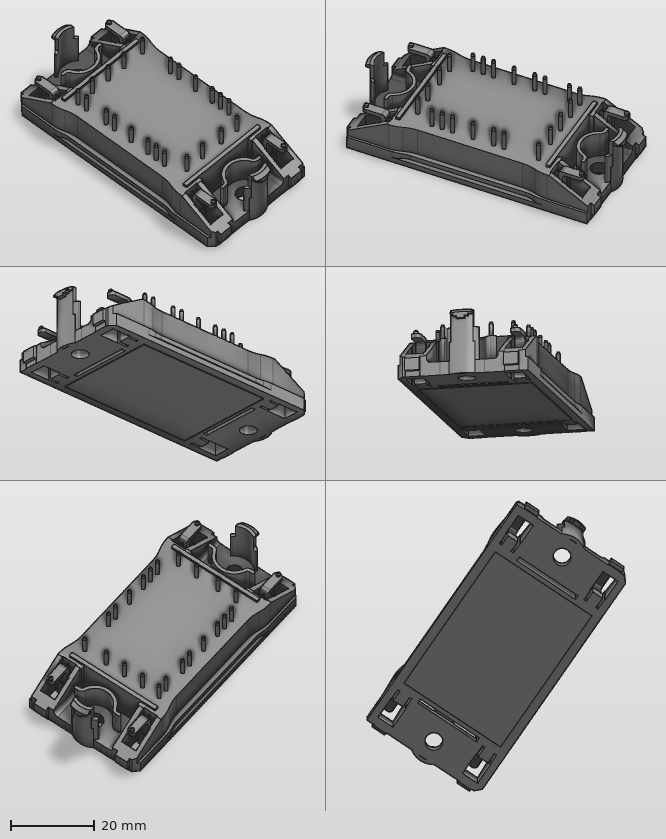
import cadquery as cq
import math

base_bottom = 0.2
skirt_top = 3.5
deck_top = 11.1
rib_top = 11.75
pin_top = 16.28
clip_top = 15.85

base_plate_x = 39.0
base_plate_y = 28.0
half_length = 32.05
skirt_half_width = 16.25
corner_chamfer = 1.45
wall_half_width = 15.65
waist_half_width = 14.4
waist_outer_x = 21.1
waist_inner_x = 14.0
end_wall_x = 20.6

recess_outer_x = 19.9
recess_inner_x = 15.4
recess_wall_y = 15.7
recess_bottom = 1.65
recess_ledge_top = 2.26

tower_x = 21.65
tower_end_height = 5.2
tower_inner_y = 8.9
tower_foot_radius = 1.2
window_inner_x = 21.7
window_deck_x = 21.4
window_outer_x = 30.0
window_inner_y = 10.1
window_outer_y = 14.45
window_step_x = 24.5
window_step = 0.15
tab_reach = 33.0
tab_foot_reach = 32.2
tab_inner_y = 10.5
tab_outer_y = 14.1
tab_bottom = 1.65
flange_slot_half_width = 8.5

arm_y = 12.3
arm_width = 2.36
arm_outer_x = 29.4
arm_inner_x = 23.1
arm_bottom = 10.45
arm_top = 11.5
arm_bend_radius = 1.0
arm_inner_bend_radius = 0.7
arm_root_width = 2.8
arm_root_x = 24.2
arm_root_top = 10.2
arm_web_width = 0.3
peg_diameter = 1.1
peg_x = 28.75
peg_top = 12.4
peg_tip_height = 0.35

screw_x = 27.4
screw_hole_diameter = 4.3
guard_radius = 4.95
guard_thickness = 0.9
guard_bend_radius = 1.3
guard_end_offset = 1.1
guard_end_y = 6.5
guard_top = 10.5
clip_inner_radius = 4.8
clip_outer_radius = 5.7
clip_half_width = 2.75
clip_foot_half_width = 3.2
clip_foot_top = 8.1
clip_pad_half_width = 5.5
clip_pad_x = 32.1
clip_wing_outer_radius = 5.6
clip_wing_angle = 48.0
clip_wing_top = 11.7
clip_wing_rounding = 0.35
hook_reach_radius = 6.8
hook_nose_top = 15.0
hook_steps = [(1.0, 13.55), (1.8, 14.1), (2.6, 14.65)]

rib_width = 1.1
rib_length = 26.0
pin_diameter = 1.0
pin_tip_diameter = 0.6
pin_tip_height = 0.55
pin_row_y = 11.25
pin_column_x = 16.75
shared_row_x = [-16.75, -7.5, -4.75, 0.75, 6.25, 9.0, 11.75]
extra_pin_x = -14.0
left_column_y = [4.75, -0.75, -6.25]
right_column_y = [8.75, 3.25, -3.25, -8.75]


def block(x0, x1, y0, y1, z0, z1):
    return cq.Workplane("XY").box(x1 - x0, y1 - y0, z1 - z0, centered=False).translate((x0, y0, z0))


def both_sides(shape):
    """The shape and its mirror image across the XZ plane."""
    return shape.union(shape.mirror("XZ"))


def both_ends(shape):
    """The shape and its mirror image across the YZ plane."""
    return shape.union(shape.mirror("YZ"))


def waisted_half(end_x, outer_x, inner_x, outer_y, inner_y, edge_y):
    """Closed plan outline between edge_y and a side that swings from outer_y in to inner_y."""
    middle_x = (outer_x + inner_x) / 2
    middle_y = (outer_y + inner_y) / 2
    return (
        cq.Workplane("XY")
        .moveTo(-end_x, edge_y)
        .lineTo(-end_x, outer_y)
        .lineTo(-outer_x, outer_y)
        .tangentArcPoint((-middle_x, middle_y), relative=False)
        .tangentArcPoint((-inner_x, inner_y), relative=False)
        .lineTo(inner_x, inner_y)
        .tangentArcPoint((middle_x, middle_y), relative=False)
        .tangentArcPoint((outer_x, outer_y), relative=False)
        .lineTo(end_x, outer_y)
        .lineTo(end_x, edge_y)
        .close()
    )


def side_recess():
    """Cutter for the long shallow recess in the +Y side of the skirt, with its sloping ledge."""
    margin_y = skirt_half_width + 1
    plan = (
        waisted_half(recess_outer_x + 1, recess_outer_x, recess_inner_x,
                     skirt_half_width, recess_wall_y, margin_y)
        .extrude(skirt_top)
    )
    section = (
        cq.Workplane("YZ")
        .polyline([
            (recess_wall_y, skirt_top),
            (recess_wall_y, recess_ledge_top),
            (skirt_half_width, recess_bottom),
            (margin_y, recess_bottom),
            (margin_y, skirt_top),
        ])
        .close()
        .extrude(recess_outer_x, both=True)
    )
    return plan.intersect(section)


def housing():
    skirt = block(-half_length, half_length, -skirt_half_width, skirt_half_width, base_bottom, skirt_top)
    skirt = skirt.cut(both_sides(side_recess()))
    upper_half = (
        waisted_half(half_length, waist_outer_x, waist_inner_x, wall_half_width, waist_half_width, 0)
        .extrude(deck_top - skirt_top)
        .translate((0, 0, skirt_top))
    )
    slopes = (
        cq.Workplane("XZ")
        .polyline([
            (-half_length, base_bottom),
            (-half_length, tower_end_height),
            (-tower_x, deck_top),
            (tower_x, deck_top),
            (half_length, tower_end_height),
            (half_length, base_bottom),
        ])
        .close()
        .extrude(skirt_half_width, both=True)
    )
    body = skirt.union(both_sides(upper_half)).intersect(slopes)
    return body.cut(both_ends(corner_cut()))


def corner_cut():
    """Cutter for the chamfered corner at -X, -Y."""
    return (
        cq.Workplane("XY")
        .polyline([
            (-half_length, -skirt_half_width),
            (-half_length + corner_chamfer, -skirt_half_width),
            (-half_length, -skirt_half_width + corner_chamfer),
        ])
        .close()
        .extrude(deck_top)
    )


def flange_bay():
    """Cutter for the open bay above the -X screw flange, rounded along the foot of each tower."""
    bay = block(-half_length - 1, -window_inner_x, -tower_inner_y, tower_inner_y, skirt_top, deck_top + 1)
    return bay.edges("|X and <Z").fillet(tower_foot_radius)


def tower_window():
    """Cutter for the window through the +Y tower, slightly narrower around the leg of the spring arm."""
    narrow_y0 = window_inner_y + window_step
    narrow_y1 = window_outer_y - window_step
    wide = block(-window_outer_x, -window_step_x, window_inner_y, window_outer_y, 0, deck_top)
    narrow = (
        cq.Workplane("XZ", origin=(0, narrow_y1, 0))
        .polyline([
            (-window_outer_x, 0),
            (-window_outer_x, deck_top),
            (-window_deck_x, deck_top),
            (-window_inner_x, skirt_top),
            (-window_inner_x, 0),
        ])
        .close()
        .extrude(narrow_y1 - narrow_y0)
    )
    return wide.union(narrow)


def end_openings():
    """Cutters for the -X end: bay, through slot, screw hole and the two tower windows."""
    slot = block(-window_inner_x, -end_wall_x, -flange_slot_half_width, flange_slot_half_width,
                 0, deck_top)
    hole = cq.Workplane("XY").center(-screw_x, 0).circle(screw_hole_diameter / 2).extrude(deck_top)
    return flange_bay().union(slot).union(hole).union(both_sides(tower_window()))


def guard_wall():
    """Wavy wall around the screw hole: one large arc that bends back into two straight ends."""
    bend_center_x = guard_end_offset + guard_bend_radius
    bend_angle = math.acos(bend_center_x / (guard_radius + guard_bend_radius))
    turn_x = guard_radius * math.cos(bend_angle)
    turn_y = guard_radius * math.sin(bend_angle)
    straight_y = (guard_radius + guard_bend_radius) * math.sin(bend_angle)
    return (
        cq.Workplane("XY", origin=(-screw_x, 0, skirt_top))
        .moveTo(guard_end_offset, -guard_end_y)
        .lineTo(guard_end_offset, -straight_y)
        .tangentArcPoint((turn_x, -turn_y), relative=False)
        .threePointArc((guard_radius, 0), (turn_x, turn_y))
        .tangentArcPoint((guard_end_offset, straight_y), relative=False)
        .lineTo(guard_end_offset, guard_end_y)
        .offset2D(guard_thickness / 2)
        .extrude(guard_top - skirt_top)
    )


def clip_ring(outer_radius, bottom, top):
    return (
        cq.Workplane("XY", origin=(-screw_x, 0, bottom))
        .circle(outer_radius)
        .circle(clip_inner_radius)
        .extrude(top - bottom)
    )


def clip_shell(half_width, bottom, top):
    """Part of the curved clip wall, limited to a width across Y."""
    limit = block(-screw_x - clip_outer_radius, -screw_x, -half_width, half_width, bottom, top)
    return clip_ring(clip_outer_radius, bottom, top).intersect(limit)


def clip_wings():
    """Lower, wider and slightly thinner part of the clip wall, with rounded ends."""
    wedge_x = -2 * clip_outer_radius
    wedge_y = -wedge_x * math.tan(math.radians(clip_wing_angle))
    wedge = (
        cq.Workplane("XY", origin=(-screw_x, 0, skirt_top))
        .polyline([(0, 0), (wedge_x, wedge_y), (wedge_x, -wedge_y)])
        .close()
        .extrude(clip_wing_top - skirt_top)
    )
    wings = clip_ring(clip_wing_outer_radius, skirt_top, clip_wing_top).intersect(wedge)
    return wings.edges("|Z").fillet(clip_wing_rounding)


def clip_hook():
    """Outward latch nose, sloping on top, with an underside that steps down to the middle."""
    hook = None
    root_radius = (clip_inner_radius + clip_outer_radius) / 2
    for half_width, underside in hook_steps:
        ring = (
            cq.Workplane("XZ")
            .polyline([
                (root_radius, underside),
                (hook_reach_radius, underside),
                (hook_reach_radius, hook_nose_top),
                (clip_outer_radius, clip_top),
                (root_radius, clip_top),
            ])
            .close()
            .revolve(360, (0, 0, 0), (0, 1, 0))
            .translate((-screw_x, 0, 0))
        )
        limit = block(-screw_x - hook_reach_radius, -screw_x, -half_width, half_width, underside, clip_top)
        step = ring.intersect(limit)
        hook = step if hook is None else hook.union(step)
    return hook


def latch_clip():
    foot = clip_shell(clip_foot_half_width, base_bottom, clip_foot_top)
    blade = clip_shell(clip_half_width, clip_foot_top, clip_top)
    return foot.union(blade).union(clip_wings()).union(clip_hook())


def spring_arm():
    """Bent arm in the +Y tower window: a leg, a horizontal finger and a peg at its tip."""
    y0 = arm_y - arm_width / 2
    y1 = arm_y + arm_width / 2
    finger = block(-arm_outer_x, -arm_inner_x, y0, y1, arm_bottom, arm_top)
    finger = finger.edges("|Z and <X").fillet(arm_bend_radius)
    leg = block(-arm_root_x, -arm_inner_x, y0, y1, base_bottom, arm_top)
    arm = finger.union(leg).edges("|Y and >X and >Z").fillet(arm_bend_radius)
    arm = arm.edges(cq.selectors.NearestToPointSelector((-arm_root_x, arm_y, arm_bottom)))
    arm = arm.fillet(arm_inner_bend_radius)
    root = block(-window_step_x, -tower_x, arm_y - arm_root_width / 2, arm_y + arm_root_width / 2,
                 base_bottom, tower_end_height)
    web = block(-arm_inner_x - arm_bend_radius / 2, -tower_x, arm_y - arm_web_width / 2,
                arm_y + arm_web_width / 2, base_bottom, arm_root_top)
    peg = (
        cq.Workplane("XY", origin=(-peg_x, arm_y, arm_bottom))
        .circle(peg_diameter / 2)
        .extrude(peg_top - arm_bottom)
        .faces(">Z")
        .chamfer(peg_tip_height)
    )
    return arm.union(root).union(web).union(peg)


def end_tab():
    """Tab on the end face of the +Y tower, carrying on the tower slope, with a shallow ramp below."""
    slope = (deck_top - tower_end_height) / (half_length - tower_x)
    tip_height = tower_end_height - slope * (tab_reach - half_length)
    return (
        cq.Workplane("XZ", origin=(0, tab_outer_y, 0))
        .polyline([
            (-window_outer_x, base_bottom),
            (-tab_foot_reach, base_bottom),
            (-half_length, tab_bottom),
            (-tab_reach, tab_bottom),
            (-tab_reach, tip_height),
            (-half_length, tower_end_height),
            (-window_outer_x, tower_end_height),
        ])
        .close()
        .extrude(tab_outer_y - tab_inner_y)
    )


def clip_pad():
    """Low pad that widens the foot of the clip along the end face."""
    return (
        cq.Workplane("XY", origin=(0, 0, base_bottom))
        .polyline([
            (-half_length, clip_pad_half_width),
            (-clip_pad_x, clip_foot_half_width),
            (-clip_pad_x, -clip_foot_half_width),
            (-half_length, -clip_pad_half_width),
        ])
        .close()
        .extrude(skirt_top - base_bottom)
    )


def end_fittings():
    """Everything added at the -X end."""
    rib = block(-end_wall_x, -end_wall_x + rib_width, -rib_length / 2, rib_length / 2,
                deck_top, rib_top)
    pair = both_sides(end_tab()).union(both_sides(spring_arm()))
    return pair.union(rib).union(guard_wall()).union(clip_pad()).union(latch_clip())


def terminal_pins():
    places = [(x, side * pin_row_y) for x in shared_row_x for side in (-1, 1)]
    places.append((extra_pin_x, -pin_row_y))
    places += [(-pin_column_x, y) for y in left_column_y]
    places += [(pin_column_x, y) for y in right_column_y]
    side_inset = (pin_diameter - pin_tip_diameter) / 2
    return (
        cq.Workplane("XY", origin=(0, 0, skirt_top))
        .pushPoints(places)
        .circle(pin_diameter / 2)
        .extrude(pin_top - skirt_top)
        .faces(">Z")
        .chamfer(pin_tip_height, side_inset)
    )


def base_plate():
    return block(-base_plate_x / 2, base_plate_x / 2, -base_plate_y / 2, base_plate_y / 2, 0, skirt_top)


result = housing().cut(both_ends(end_openings()))
result = result.union(both_ends(end_fittings()))
result = result.union(base_plate())
result = result.union(terminal_pins())